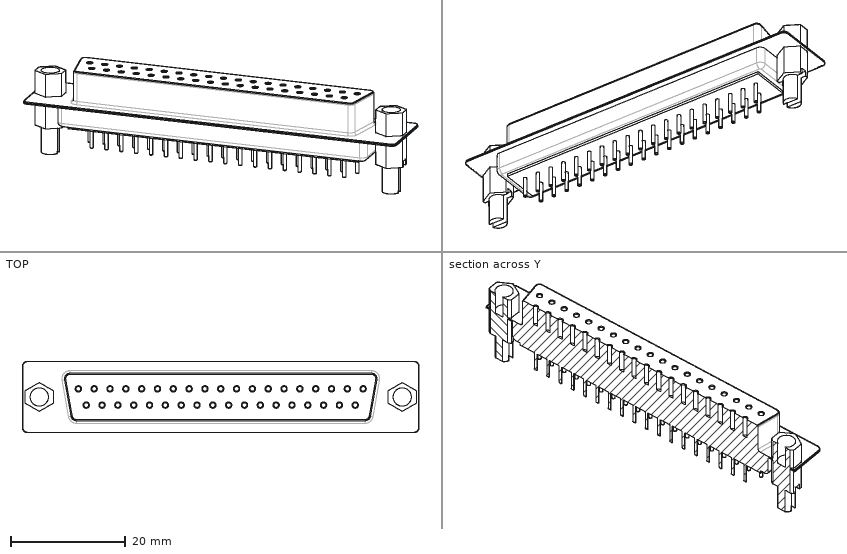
import cadquery as cq
import math


overall_height = 16.8

flange_length = 69.4
flange_width = 12.5
flange_thickness = 0.4
front_plate_inset = 0.1
flange_corner_radius = 0.9

face_z = 6.3
face_step = 0.2
shell_top_z = face_z - face_step
shell_half_width = 4.15
shell_mid_half_length = 26.8
shell_side_angle = 10.0
shell_corner_radius = 1.0
shell_top_fillet = 0.15
shell_root_fillet = 0.45
root_tolerance = 0.1

hood_length = 57.6
hood_width = 10.2
hood_depth = 4.0
hood_corner_radius = 1.05
hood_bottom_fillet = 0.8
insert_depth = 4.5
insert_length = 54.1
insert_width = 7.5

contact_row_counts = (19, 18)
contact_row_span = 49.8
contact_pitch = contact_row_span / (max(contact_row_counts) - 1)
contact_row_spacing = 2.85
socket_diameter = 0.8
socket_mouth_chamfer = 0.15
socket_mouth_angle = 45.0
socket_depth = 4.15
pin_diameter = 0.64
pin_tip_z = -8.4
pin_tip_chamfer = 0.15

post_spacing = 63.5
post_positions = (-post_spacing / 2, post_spacing / 2)
post_hex_length = 5.0
post_hex_flat = 2.15
post_hex_slope = 30.0
post_hex_width = post_hex_flat + post_hex_length * math.tan(math.radians(post_hex_slope))
post_top_z = 4.6
post_hex_bottom_z = -5.5
post_bottom_z = face_z - overall_height
post_shank_diameter = 3.2
post_bore_diameter = 3.2
post_bore_depth = 4.6
post_slot_width = 1.05
post_slot_top_z = -4.45


def slab(length, width, bottom_z, top_z):
    """Rectangular block centred on the Z axis."""
    base = cq.Workplane("XY", origin=(0, 0, bottom_z))
    return base.rect(length, width).extrude(top_z - bottom_z)


def d_outline(inset, z):
    """Trapezoid at height z, longer side on +Y, inset from the shell outline."""
    half_width = shell_half_width - inset
    slant = math.radians(shell_side_angle)
    mid_half_length = shell_mid_half_length - inset / math.cos(slant)
    skew = half_width * math.tan(slant)
    long_half = mid_half_length + skew
    short_half = mid_half_length - skew
    points = [
        (-short_half, -half_width),
        (short_half, -half_width),
        (long_half, half_width),
        (-long_half, half_width),
    ]
    return cq.Workplane("XY", origin=(0, 0, z)).polyline(points).close()


def d_block(inset, bottom_z, top_z):
    """D-shaped block with rounded vertical corners."""
    block = d_outline(inset, bottom_z).extrude(top_z - bottom_z)
    return block.edges("|Z").fillet(shell_corner_radius - inset)


def contact_points():
    """Centres of all contacts, two staggered rows centred on X = 0."""
    points = []
    for row, count in enumerate(contact_row_counts):
        y = (0.5 - row) * contact_row_spacing
        for index in range(count):
            x = (index - (count - 1) / 2) * contact_pitch
            points.append((x, y))
    return points


def post_hexagon(x, bottom_z, top_z):
    """Hexagonal prism of a jack post, corners pointing along Y."""
    half_length = post_hex_length / 2
    half_width = post_hex_width / 2
    half_flat = post_hex_flat / 2
    points = [
        (0, -half_width),
        (half_length, -half_flat),
        (half_length, half_flat),
        (0, half_width),
        (-half_length, half_flat),
        (-half_length, -half_flat),
    ]
    base = cq.Workplane("XY", origin=(x, 0, bottom_z))
    return base.polyline(points).close().extrude(top_z - bottom_z)


def make_connector():
    """Flange, shell, hood, insert and contact pins as one body."""
    plate_thickness = flange_thickness / 2
    rear_plate = slab(flange_length, flange_width, 0, plate_thickness)
    front_plate = slab(
        flange_length - 2 * front_plate_inset,
        flange_width - 2 * front_plate_inset,
        plate_thickness,
        flange_thickness,
    )
    rear_plate = rear_plate.edges("|Z").fillet(flange_corner_radius)
    front_plate = front_plate.edges("|Z").fillet(flange_corner_radius - front_plate_inset)
    flange = rear_plate.union(front_plate)

    body = flange.union(d_block(0, 0, shell_top_z))
    root_zone = cq.selectors.BoxSelector(
        (-hood_length / 2, -hood_width / 2, flange_thickness - root_tolerance),
        (hood_length / 2, hood_width / 2, flange_thickness + root_tolerance),
    )
    body = body.edges(root_zone).fillet(shell_root_fillet)
    body = body.faces(">Z").edges().fillet(shell_top_fillet)
    body = body.union(d_block(face_step, shell_top_z, face_z))

    hood = slab(hood_length, hood_width, -hood_depth, 0).edges("|Z").fillet(hood_corner_radius)
    hood = hood.faces("<Z").edges().fillet(hood_bottom_fillet)
    body = body.union(hood).union(slab(insert_length, insert_width, -insert_depth, 0))

    pins = cq.Workplane("XY", origin=(0, 0, pin_tip_z)).pushPoints(contact_points())
    pins = pins.circle(pin_diameter / 2).extrude(-insert_depth - pin_tip_z)
    pins = pins.faces("<Z").edges().chamfer(pin_tip_chamfer)
    sockets = cq.Workplane("XY", origin=(0, 0, face_z - socket_depth)).pushPoints(contact_points())
    sockets = sockets.circle(socket_diameter / 2).extrude(socket_depth)
    mouths = cq.Workplane("XY", origin=(0, 0, face_z)).pushPoints(contact_points())
    mouths = mouths.circle(socket_diameter / 2 + socket_mouth_chamfer)
    mouths = mouths.extrude(-socket_mouth_chamfer, taper=socket_mouth_angle)
    body = body.union(pins).cut(sockets).cut(mouths)

    for x in post_positions:
        body = body.cut(post_hexagon(x, 0, flange_thickness))
    return body


def make_post(x):
    """Jack post: bored hexagon on a round shank, slotted from below along X."""
    post = post_hexagon(x, post_hex_bottom_z, post_top_z)
    shank = cq.Workplane("XY", origin=(x, 0, post_bottom_z)).circle(post_shank_diameter / 2)
    post = post.union(shank.extrude(post_hex_bottom_z - post_bottom_z))
    bore = cq.Workplane("XY", origin=(x, 0, post_top_z)).circle(post_bore_diameter / 2)
    post = post.cut(bore.extrude(-post_bore_depth))
    slot = cq.Workplane("XY", origin=(x, 0, post_bottom_z)).rect(post_hex_length, post_slot_width)
    return post.cut(slot.extrude(post_slot_top_z - post_bottom_z))


connector = make_connector()
posts = [make_post(x) for x in post_positions]

result = cq.Compound.makeCompound([connector.val(), *[post.val() for post in posts]])